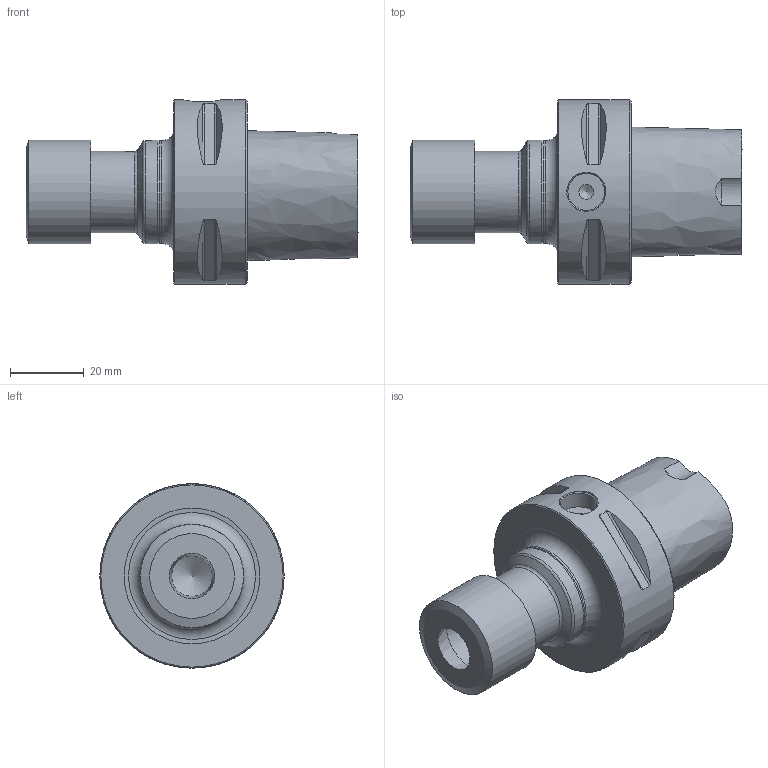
import cadquery as cq
import math

NOSE_FACE_X = -60.0
NOSE_LENGTH = 17.5
NOSE_END_X = NOSE_FACE_X + NOSE_LENGTH
FLANGE_LENGTH = 20.0
FLANGE_FRONT_X = -FLANGE_LENGTH
SHANK_LENGTH = 30.0

NOSE_RADIUS = 28.0 / 2
NOSE_FACE_RADIUS = 11.5
NOSE_BEVEL_LENGTH = 0.8
BORE_RADIUS = 11.0 / 2
MOUTH_RADIUS = 12.3 / 2
SEAT_RADIUS = 8.5
SEAT_DEPTH = 5.7
SEAT_TAPER_ANGLE = math.radians(8)
BORE_LENGTH = 3.0
DRILL_POINT_HALF_ANGLE = math.radians(59)

NECK_RADIUS = 22.0 / 2
CONE_ANGLE = math.radians(60)
NECK_ROUND = 1.0
COLLAR_RADIUS = 28.0 / 2
COLLAR_START_X = -28.2
COLLAR_EDGE_ROUND = 0.8
COLLAR_END_X = -24.3
RELIEF_RADIUS = 27.8 / 2
RELIEF_START_X = -23.8
RELIEF_END_X = -23.2
RECESS_DEPTH = 0.1
RECESS_ROUND_RADIUS = 17.2
RECESS_RADIUS = 18.4

FLANGE_RADIUS = 50.0 / 2
FLANGE_FRONT_CHAMFER = 0.3
FLANGE_REAR_CHAMFER = 0.6

GROOVE_X = -10.2
GROOVE_ANGLES = (45, 135, 225, 315)
GROOVE_FLOOR_DISTANCE = 22.1
GROOVE_FLOOR_WIDTH = 3.4
GROOVE_WALL_ANGLE = math.radians(30)
GROOVE_FLOOR_ROUND = 0.7
GROOVE_OVERRUN = 1.0

POCKET_X = -12.2
POCKET_RADIUS = 10.0 / 2
POCKET_MOUTH_RADIUS = 10.6 / 2
POCKET_MOUTH_DEPTH = 0.8
POCKET_FLOOR_Z = 19.7
DIMPLE_RADIUS = 4.0 / 2

SHANK_MEAN_RADIUS = 17.6
SHANK_LOBE_HEIGHT = 1.0
SHANK_TAPER = 1 / 40
SHANK_CURVE_POINTS = 72

KEYWAY_RADIUS = 5.5
KEYWAY_HALF_WIDTH = 3.6
KEYWAY_CHORD_Z = 15.6
KEYWAY_LENGTH = 5.5
KEYWAY_OVERRUN = 1.0


def revolve_about_x(profile):
    return profile.close().revolve(360, (0, 0, 0), (1, 0, 0))


def circle_at(x):
    """Select the turned edge of the neck or collar lying at the given X."""
    slack = 0.05
    reach = COLLAR_RADIUS + slack
    return cq.selectors.BoxSelector((x - slack, -reach, -reach), (x + slack, reach, reach))


def make_turned_body():
    recess_x = FLANGE_FRONT_X + RECESS_DEPTH
    diagonal = math.sqrt(0.5)
    round_middle = (
        RELIEF_END_X + (recess_x - RELIEF_END_X) * diagonal,
        RECESS_ROUND_RADIUS - (RECESS_ROUND_RADIUS - RELIEF_RADIUS) * diagonal,
    )
    cone_start_x = COLLAR_START_X - (COLLAR_RADIUS - NECK_RADIUS) / math.tan(CONE_ANGLE)
    profile = (
        cq.Workplane("XY")
        .moveTo(NOSE_FACE_X, 0)
        .lineTo(NOSE_FACE_X, NOSE_FACE_RADIUS)
        .lineTo(NOSE_FACE_X + NOSE_BEVEL_LENGTH, NOSE_RADIUS)
        .lineTo(NOSE_END_X, NOSE_RADIUS)
        .lineTo(NOSE_END_X, NECK_RADIUS)
        .lineTo(cone_start_x, NECK_RADIUS)
        .lineTo(COLLAR_START_X, COLLAR_RADIUS)
        .lineTo(COLLAR_END_X, COLLAR_RADIUS)
        .lineTo(RELIEF_START_X, RELIEF_RADIUS)
        .lineTo(RELIEF_END_X, RELIEF_RADIUS)
        .threePointArc(round_middle, (recess_x, RECESS_ROUND_RADIUS))
        .lineTo(FLANGE_FRONT_X, RECESS_RADIUS)
        .lineTo(FLANGE_FRONT_X, FLANGE_RADIUS - FLANGE_FRONT_CHAMFER)
        .lineTo(FLANGE_FRONT_X + FLANGE_FRONT_CHAMFER, FLANGE_RADIUS)
        .lineTo(-FLANGE_REAR_CHAMFER, FLANGE_RADIUS)
        .lineTo(0, FLANGE_RADIUS - FLANGE_REAR_CHAMFER)
        .lineTo(0, 0)
    )
    body = revolve_about_x(profile)
    body = body.edges(circle_at(cone_start_x)).fillet(NECK_ROUND)
    return body.edges(circle_at(COLLAR_START_X)).fillet(COLLAR_EDGE_ROUND)


def make_collet_seat():
    """Cavity that flares behind the mouth, narrows along the collet taper and ends in a drilled bore."""
    seat_x = NOSE_FACE_X + SEAT_DEPTH
    taper_end_x = seat_x + (SEAT_RADIUS - BORE_RADIUS) / math.tan(SEAT_TAPER_ANGLE)
    bore_end_x = taper_end_x + BORE_LENGTH
    point_depth = BORE_RADIUS / math.tan(DRILL_POINT_HALF_ANGLE)
    profile = (
        cq.Workplane("XY")
        .moveTo(NOSE_FACE_X, 0)
        .lineTo(NOSE_FACE_X, MOUTH_RADIUS)
        .lineTo(seat_x, SEAT_RADIUS)
        .lineTo(taper_end_x, BORE_RADIUS)
        .lineTo(bore_end_x, BORE_RADIUS)
        .lineTo(bore_end_x + point_depth, 0)
    )
    return revolve_about_x(profile)


def make_groove(angle):
    """Straight V-walled groove with a flat floor, facing the given angle about X."""
    rim_distance = FLANGE_RADIUS + GROOVE_OVERRUN
    floor_half = GROOVE_FLOOR_WIDTH / 2
    rim_half = floor_half + (rim_distance - GROOVE_FLOOR_DISTANCE) * math.tan(GROOVE_WALL_ANGLE)
    return (
        cq.Workplane("XZ")
        .polyline([
            (GROOVE_X - floor_half, GROOVE_FLOOR_DISTANCE),
            (GROOVE_X + floor_half, GROOVE_FLOOR_DISTANCE),
            (GROOVE_X + rim_half, rim_distance),
            (GROOVE_X - rim_half, rim_distance),
        ])
        .close()
        .extrude(FLANGE_RADIUS, both=True)
        .edges("|Y and <Z")
        .fillet(GROOVE_FLOOR_ROUND)
        .rotate((0, 0, 0), (1, 0, 0), angle)
    )


def make_top_pocket():
    """Round flat-bottomed pocket with a chamfered mouth and a drill dimple in its floor."""
    mouth_z = FLANGE_RADIUS - POCKET_MOUTH_DEPTH
    chamfer = POCKET_MOUTH_RADIUS - POCKET_RADIUS
    dimple_depth = DIMPLE_RADIUS / math.tan(DRILL_POINT_HALF_ANGLE)
    return (
        cq.Workplane("XZ")
        .moveTo(0, POCKET_FLOOR_Z - dimple_depth)
        .lineTo(DIMPLE_RADIUS, POCKET_FLOOR_Z)
        .lineTo(POCKET_RADIUS, POCKET_FLOOR_Z)
        .lineTo(POCKET_RADIUS, mouth_z)
        .lineTo(POCKET_MOUTH_RADIUS, mouth_z + chamfer)
        .lineTo(POCKET_MOUTH_RADIUS, FLANGE_RADIUS)
        .lineTo(0, FLANGE_RADIUS)
        .close()
        .revolve(360, (0, 0, 0), (0, 1, 0))
        .translate((POCKET_X, 0, 0))
    )


def shank_section(mean_radius):
    """Constant-width three-lobed curve with one lobe pointing to -Z."""

    def point(t):
        a = 2 * math.pi * t
        reach = mean_radius + SHANK_LOBE_HEIGHT * math.sin(3 * a)
        slope = 3 * SHANK_LOBE_HEIGHT * math.cos(3 * a)
        return (
            reach * math.cos(a) - slope * math.sin(a),
            reach * math.sin(a) + slope * math.cos(a),
        )

    return point


def make_shank():
    end_radius = SHANK_MEAN_RADIUS - SHANK_LENGTH * SHANK_TAPER
    return (
        cq.Workplane("YZ")
        .parametricCurve(shank_section(SHANK_MEAN_RADIUS), N=SHANK_CURVE_POINTS)
        .workplane(offset=SHANK_LENGTH)
        .parametricCurve(shank_section(end_radius), N=SHANK_CURVE_POINTS)
        .loft(ruled=True, combine=True)
    )


def make_keyway():
    """Cylindrical channel parallel to X that runs out forward along a 45 degree cone."""
    axis_height = math.sqrt(KEYWAY_RADIUS ** 2 - KEYWAY_HALF_WIDTH ** 2)
    axis_z = KEYWAY_CHORD_Z + axis_height
    start_x = SHANK_LENGTH - KEYWAY_LENGTH
    return (
        cq.Workplane("XY")
        .moveTo(start_x - KEYWAY_RADIUS, 0)
        .lineTo(start_x, KEYWAY_RADIUS)
        .lineTo(SHANK_LENGTH + KEYWAY_OVERRUN, KEYWAY_RADIUS)
        .lineTo(SHANK_LENGTH + KEYWAY_OVERRUN, 0)
        .close()
        .revolve(360, (0, 0, 0), (1, 0, 0))
        .translate((0, 0, axis_z))
    )


shank = make_shank().cut(make_keyway())
result = make_turned_body().union(shank).cut(make_collet_seat())
for groove_angle in GROOVE_ANGLES:
    result = result.cut(make_groove(groove_angle))
result = result.cut(make_top_pocket())